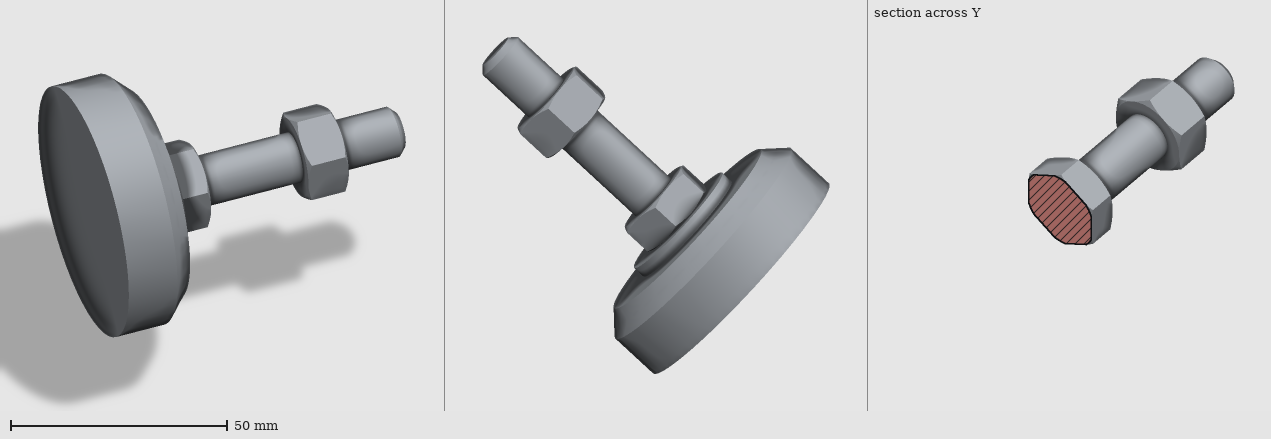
import cadquery as cq
import math

total_length = 78.0

pad_diameter = 60.0
pad_rim_height = 12.0
pad_cone_height = 5.0
pad_top_diameter = 50.0
collar_diameter = 30.0
collar_height = 3.0

stud_diameter = 12.0
stud_chamfer = 1.6

nut_across_flats = 19.0
nut_bevel_angle = 30.0
hexagon_half_angle = 30.0
fixed_nut_height = 8.0
lock_nut_height = 10.0
nut_gap = 24.0

pad_height = pad_rim_height + pad_cone_height
collar_top = pad_height + collar_height
lock_nut_start = collar_top + fixed_nut_height + nut_gap


def cylinder(diameter, start, height):
    """Round bar on the Z axis, standing on the given height."""
    return cq.Workplane("XY").workplane(offset=start).circle(diameter / 2).extrude(height)


def make_pad():
    """Turned pad with a conical shoulder."""
    rim_radius = pad_diameter / 2
    return (
        cq.Workplane("XZ")
        .moveTo(0, 0)
        .lineTo(rim_radius, 0)
        .lineTo(rim_radius, pad_rim_height)
        .lineTo(pad_top_diameter / 2, pad_height)
        .lineTo(0, pad_height)
        .close()
        .revolve(360, (0, 0), (0, 1))
    )


def make_nut(start, height):
    """Hexagon nut with flats facing X and corners bevelled at both ends."""
    flat_radius = nut_across_flats / 2
    corner_radius = flat_radius / math.cos(math.radians(hexagon_half_angle))
    bevel = (corner_radius - flat_radius) * math.tan(math.radians(nut_bevel_angle))
    hexagon = (
        cq.Workplane("XY")
        .workplane(offset=start)
        .transformed(rotate=(0, 0, hexagon_half_angle))
        .polygon(6, 2 * corner_radius)
        .extrude(height)
    )
    envelope = (
        cq.Workplane("XZ")
        .moveTo(0, start)
        .lineTo(flat_radius, start)
        .lineTo(corner_radius, start + bevel)
        .lineTo(corner_radius, start + height - bevel)
        .lineTo(flat_radius, start + height)
        .lineTo(0, start + height)
        .close()
        .revolve(360, (0, 0), (0, 1))
    )
    return hexagon.intersect(envelope)


stud = cylinder(stud_diameter, pad_height, total_length - pad_height).faces(">Z").chamfer(stud_chamfer)

upright = (
    make_pad()
    .union(cylinder(collar_diameter, pad_height, collar_height))
    .union(stud)
    .union(make_nut(collar_top, fixed_nut_height))
    .union(make_nut(lock_nut_start, lock_nut_height))
)
result = upright.rotate((0, 0, 0), (1, 0, 0), -90)